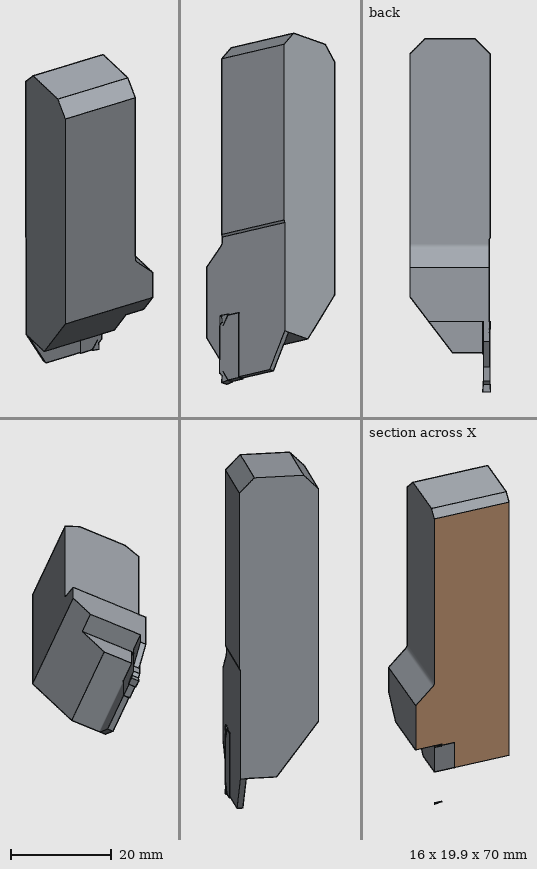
import cadquery as cq
import math

length = 70.0
width = 16.0
shank_near = 0.1
shank_depth = 15.95
end_chamfer = 3.0
head_near = 0.3
step_top = 30.65
step_bottom = 30.2
body_bottom = 7.8
slope_top = 18.9
body_bottom_width = 7.3

full_depth = 19.95
bump_rise = full_depth - shank_depth
bump_height = 28.7
bump_root_radius = 1.4
blade_thickness = 1.2
blade_far = head_near + blade_thickness
blade_bottom = 0.5
blade_front_corner = 3.85
blade_rear_corner = 10.1
blade_rear_slope = 1.53
blade_root_radius = 0.35

insert_length = 14.0
insert_front = 11.7
insert_rear = 16.6
insert_near = 0.15
insert_end_gap = 0.3
edge_start = 14.35
edge_end = 15.9
edge_slope_rise = 0.2
notch_height = 1.5
edge_relief = insert_rear - edge_end
tip_height = 2.25
tip_shoulder = 15.6
tip_flare = 0.15


def side_prism(points, near, far):
    """Extrude a (Y, Z) outline along X from near to far."""
    return cq.Workplane("YZ").workplane(offset=near).polyline(points).close().extrude(far - near)


def make_body():
    """Shank with chamfered end, stepped near side and sloped far side."""
    outline = [
        (head_near, body_bottom),
        (body_bottom_width + head_near, body_bottom),
        (width, slope_top),
        (width, length - end_chamfer),
        (width - end_chamfer, length),
        (shank_near + end_chamfer, length),
        (shank_near, length - end_chamfer),
        (shank_near, step_top),
        (head_near, step_bottom),
    ]
    return cq.Workplane("XZ").polyline(outline).close().extrude(-shank_depth)


def make_bump():
    """Rear block with a 45 degree top, blended into the shank."""
    root_tangent = bump_root_radius * math.tan(math.pi / 8)
    root_leg = root_tangent * math.sqrt(0.5)
    root_sag = bump_root_radius * (1 - math.cos(math.pi / 8))
    root_rise = bump_root_radius * math.sin(math.pi / 8)
    return (
        cq.Workplane("YZ").workplane(offset=head_near)
        .moveTo(shank_depth, insert_length)
        .lineTo(full_depth, insert_length)
        .lineTo(full_depth, bump_height - bump_rise)
        .lineTo(shank_depth + root_leg, bump_height - root_leg)
        .threePointArc(
            (shank_depth + root_sag, bump_height + root_tangent - root_rise),
            (shank_depth, bump_height + root_tangent),
        )
        .close()
        .extrude(width - head_near)
        .intersect(make_slope_limit())
    )


def make_slope_limit():
    """Space on the inner side of the sloping far face."""
    outline = [
        (0, body_bottom),
        (body_bottom_width + head_near, body_bottom),
        (width, slope_top),
        (width, length),
        (0, length),
    ]
    return cq.Workplane("XZ").polyline(outline).close().extrude(-full_depth)


def make_blade():
    """Thin blade that carries the insert below the body."""
    rear_foot = full_depth - (blade_rear_corner - blade_bottom) / blade_rear_slope
    outline = [
        (0, body_bottom),
        (blade_front_corner, blade_bottom),
        (rear_foot, blade_bottom),
        (full_depth, blade_rear_corner),
        (full_depth, bump_height - bump_rise),
        (shank_depth, bump_height),
        (0, bump_height),
    ]
    return side_prism(outline, head_near, blade_far)


def make_blade_root():
    """Concave fillet between the blade and the underside of the body."""
    return (
        cq.Workplane("XZ")
        .moveTo(blade_far, body_bottom)
        .lineTo(blade_far + blade_root_radius, body_bottom)
        .radiusArc((blade_far, body_bottom - blade_root_radius), -blade_root_radius)
        .close()
        .extrude(-shank_depth)
        .intersect(side_prism(
            [(0, body_bottom), (blade_front_corner, blade_bottom),
             (shank_depth, blade_bottom), (shank_depth, body_bottom)],
            head_near, width))
    )


def make_pocket():
    """Insert seat through the blade, open at the bottom."""
    outline = [
        (insert_front, 0),
        (insert_rear, 0),
        (insert_rear, insert_length),
        (edge_start, insert_length),
        (edge_start, insert_length - insert_end_gap),
        (insert_front, insert_length - insert_end_gap),
    ]
    return side_prism(outline, 0, blade_far + tip_flare)


def make_holder():
    holder = make_body().union(make_bump()).union(make_blade()).union(make_blade_root())
    return holder.cut(make_pocket())


def make_tip():
    """Lower cutting end, flaring on both sides toward the edge."""
    tip_side = [
        (edge_start, edge_slope_rise),
        (edge_end, 0),
        (edge_end, notch_height),
        (insert_rear, notch_height + edge_relief),
        (insert_rear, tip_height),
        (tip_shoulder, tip_height),
        (edge_start, insert_end_gap),
    ]
    flare = [
        (insert_near - tip_flare, 0),
        (blade_far + tip_flare, 0),
        (blade_far, tip_height),
        (insert_near, tip_height),
    ]
    flared_block = cq.Workplane("XZ").polyline(flare).close().extrude(-full_depth)
    return side_prism(tip_side, 0, blade_far + tip_flare).intersect(flared_block)


def make_insert():
    middle = insert_length / 2
    half_outline = [
        (insert_front, middle),
        (insert_front, insert_end_gap),
        (edge_start, insert_end_gap),
        (tip_shoulder, tip_height),
        (insert_rear, tip_height),
        (insert_rear, middle),
    ]
    half = side_prism(half_outline, insert_near, blade_far).union(make_tip())
    return half.union(half.mirror("XY", (0, 0, middle)))


holder = make_holder()
insert = make_insert()
result = cq.Compound.makeCompound([*holder.solids().vals(), *insert.solids().vals()])